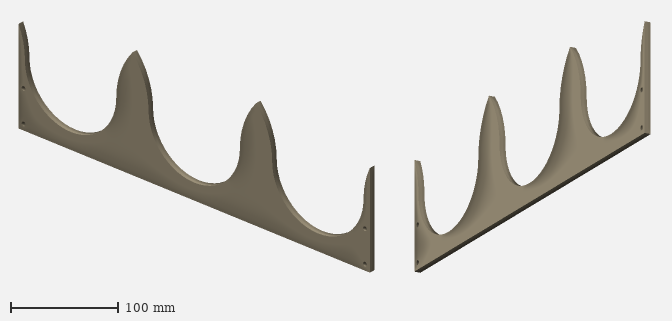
import cadquery as cq
import math

length = 432.0
thickness = 6.5
peak_height = 130.0

cradle_count = 3
cradle_pitch = 152.0
cradle_radius = 56.0
cradle_floor = 19.0
cradle_center_z = cradle_floor + cradle_radius

horn_half_width = cradle_pitch / 2 - cradle_radius
horn_rise = peak_height - cradle_center_z
flank_radius = (horn_half_width**2 + horn_rise**2) / (2 * horn_half_width)

hole_diameter = 4.7
hole_edge_distance = 6.0
hole_heights = (7.0, 44.5)


def flank_height(offset):
    """Height of a flank at a horizontal offset outward from the cradle side."""
    return cradle_center_z + math.sqrt(flank_radius**2 - (flank_radius - offset) ** 2)


def flank_mid_and_end(cradle_x, side, reach):
    """Middle and outer points of the flank on one side (-1 or 1) of a cradle."""
    edge_x = cradle_x + side * cradle_radius
    middle = (edge_x + side * reach / 2, flank_height(reach / 2))
    end = (edge_x + side * reach, flank_height(reach))
    return middle, end


def plate():
    half_length = length / 2
    last_cradle_x = (cradle_count - 1) / 2 * cradle_pitch
    end_reach = half_length - last_cradle_x - cradle_radius

    outline = cq.Workplane("XZ").moveTo(-half_length, 0)
    outline = outline.lineTo(-half_length, flank_height(end_reach))
    for index in range(cradle_count):
        x = index * cradle_pitch - last_cradle_x
        left_reach = end_reach if index == 0 else horn_half_width
        right_reach = end_reach if index == cradle_count - 1 else horn_half_width
        left_middle, _ = flank_mid_and_end(x, -1, left_reach)
        right_middle, right_end = flank_mid_and_end(x, 1, right_reach)
        outline = (
            outline.threePointArc(left_middle, (x - cradle_radius, cradle_center_z))
            .threePointArc((x, cradle_floor), (x + cradle_radius, cradle_center_z))
            .threePointArc(right_middle, right_end)
        )
    outline = outline.lineTo(half_length, 0).close()
    return outline.extrude(thickness / 2, both=True)


def mounting_holes():
    hole_x = length / 2 - hole_edge_distance
    centers = [(side * hole_x, z) for side in (-1, 1) for z in hole_heights]
    holes = cq.Workplane("XZ").pushPoints(centers).circle(hole_diameter / 2)
    return holes.extrude(thickness, both=True)


result = plate().cut(mounting_holes())